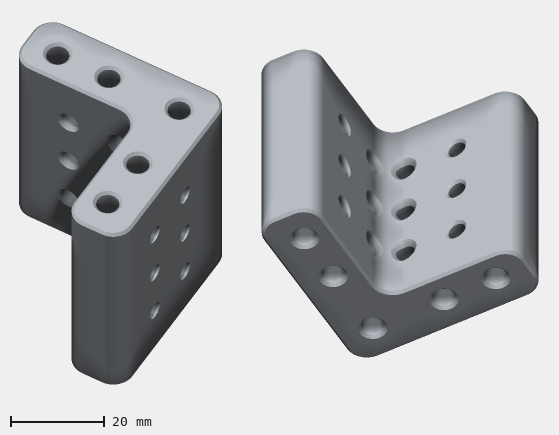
import cadquery as cq

side = 46.0
height = 50.8
arm_thickness = 14.35
corner_radius = 4.7
edge_chamfer = 0.6

vertical_hole_diameter = 5.0
vertical_hole_inset = 8.0
vertical_hole_insets = (25.4, 38.1)
vertical_hole_chamfer = 0.65

hole_pitch = 12.7
cross_hole_diameter = 4.05
wall_hole_inset = 31.75
wall_hole_chamfer = 0.6
corner_hole_inset = wall_hole_inset - hole_pitch
cross_hole_heights = [hole_pitch * row for row in (1, 2, 3)]

corner_hole_chamfer = 1.1
flare_height = 0.9
fillet_side_reach = 2.2
fillet_side_slope = 0.57


def make_body():
    """L-shaped prism with its outer corner at the origin and arms along -X and -Y."""
    profile = [
        (0, 0),
        (-side, 0),
        (-side, -arm_thickness),
        (-arm_thickness, -arm_thickness),
        (-arm_thickness, -side),
        (0, -side),
    ]
    body = cq.Workplane("XY").polyline(profile).close().extrude(height)
    body = body.edges("|Z").fillet(corner_radius)
    return body.faces("<Z or >Z").edges().chamfer(edge_chamfer)


def cut_vertical_holes(body):
    """Through holes along both arms, chamfered at the top and bottom."""
    row = (vertical_hole_inset, *vertical_hole_insets)
    along_x = [(-inset, -vertical_hole_inset) for inset in row]
    along_y = [(-vertical_hole_inset, -inset) for inset in vertical_hole_insets]
    holes = (
        cq.Workplane("XY")
        .pushPoints(along_x + along_y)
        .circle(vertical_hole_diameter / 2)
        .extrude(height)
    )
    body = body.cut(holes)
    end_faces = body.faces("<Z or >Z")
    hole_rims = end_faces.edges("%CIRCLE").edges(cq.selectors.RadiusNthSelector(0))
    return hole_rims.chamfer(vertical_hole_chamfer)


def flare_section(level):
    """Flare outline at a level above the inner wall: half circle joined to half ellipse."""
    radius = cross_hole_diameter / 2 + corner_hole_chamfer + level
    reach = fillet_side_reach + fillet_side_slope * level
    return (
        cq.Workplane("XZ", origin=(-corner_hole_inset, -arm_thickness - level, 0))
        .moveTo(0, radius)
        .threePointArc((-radius, 0), (0, -radius))
        .ellipseArc(reach, radius, -90, 90, startAtCurrent=True)
        .close()
        .val()
    )


def make_corner_flare():
    """Cutter for the flared rim of a corner hole, centred at height zero."""
    sections = [flare_section(-corner_hole_chamfer), flare_section(flare_height)]
    return cq.Workplane(cq.Solid.makeLoft(sections, True))


def make_wall_flare():
    """Conical cutter for the chamfered rim of a flat wall hole, centred at height zero."""
    radius = cross_hole_diameter / 2
    return (
        cq.Workplane("XZ", origin=(-wall_hole_inset, -arm_thickness + wall_hole_chamfer, 0))
        .circle(radius)
        .workplane(offset=wall_hole_chamfer)
        .circle(radius + wall_hole_chamfer)
        .loft(ruled=True)
    )


def make_cross_hole(inset):
    """Cylindrical cutter through the arm along X, centred at height zero."""
    return (
        cq.Workplane("XZ", origin=(-inset, 0, 0))
        .circle(cross_hole_diameter / 2)
        .extrude(arm_thickness + corner_radius)
    )


def cut_cross_holes(body):
    """Columns of through holes in both arms, flared on the inner faces of the L."""
    cutters = (
        make_cross_hole(corner_hole_inset),
        make_corner_flare(),
        make_cross_hole(wall_hole_inset),
        make_wall_flare(),
    )
    for cutter in cutters:
        twin = cutter.rotate((0, 0, 0), (1, 1, 0), 180)
        for z in cross_hole_heights:
            body = body.cut(cutter.translate((0, 0, z)))
            body = body.cut(twin.translate((0, 0, z)))
    return body


result = cut_cross_holes(cut_vertical_holes(make_body()))